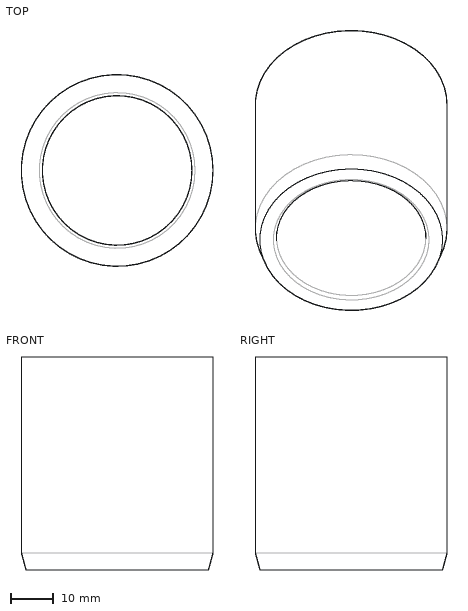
import cadquery as cq
import math

length = 50.0
outer_diameter = 45.0
bore_diameter = 35.0

lead_in_height = 4.0
lead_in_angle = 15.0
lead_in_inset = lead_in_height * math.tan(math.radians(lead_in_angle))

mouth_radius = 0.75


def bushing_body():
    """Revolve the wall section, including the lead-in taper, about Z."""
    outer_radius = outer_diameter / 2
    bore_radius = bore_diameter / 2
    section = (
        cq.Workplane("XZ")
        .moveTo(bore_radius, 0)
        .lineTo(outer_radius - lead_in_inset, 0)
        .lineTo(outer_radius, lead_in_height)
        .lineTo(outer_radius, length)
        .lineTo(bore_radius, length)
        .close()
    )
    return section.revolve(360, (0, 0, 0), (0, 1, 0))


def round_bore_mouths(body):
    """Fillet the bore edge at each end face."""
    bore_edges = cq.selectors.RadiusNthSelector(0)
    return body.edges("%CIRCLE").edges(bore_edges).fillet(mouth_radius)


result = round_bore_mouths(bushing_body())